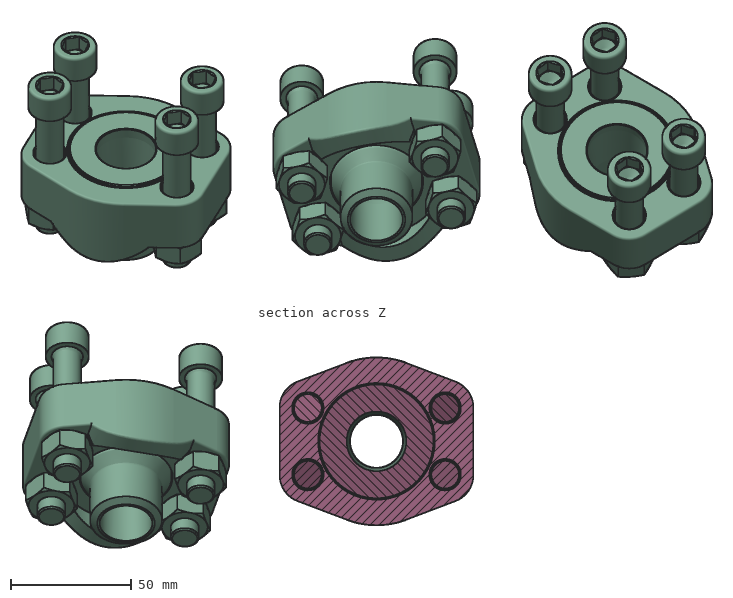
import cadquery as cq
import math

plate_length = 81.0
plate_width = 70.0
plate_top = 49.5
ear_bottom = 25.5
arch_bottom = 16.1
arch_radius = 30.0
edge_round = 1.0
bolt_spacing_x = 57.2
bolt_spacing_y = 27.8
bolt_hole_diameter = 13.0
bolt_hole_chamfer = 0.5
seat_diameter = 48.4
seat_depth = 10.4
seat_chamfer = 0.4
plate_bore_diameter = 38.8
pocket_diameter = 54.0

collar_rise = 0.6
collar_diameter = 47.6
collar_chamfer = 0.5
body_diameter = 37.9
tube_diameter = 30.0
body_bottom = 25.1
tube_top = 20.0
blend_radius = 1.0
bevel_height = 1.7
bevel_end_diameter = 24.0
mouth_bore_diameter = 25.0
mouth_bore_depth = 4.8
bore_diameter = 22.0
bore_chamfer = 0.35

screw_top = 86.5
screw_bottom = 9.4
head_diameter = 18.0
head_height = 12.0
head_round = 1.2
shank_diameter = 11.7
neck_diameter = 13.15
neck_height = 1.2
collar_end_diameter = 11.9
relief_height = 0.4
tip_diameter = 10.4
socket_flats = 10.0
socket_depth = 6.9
socket_rim_diameter = 11.7
socket_turn = 35
cone_depth_ratio = 0.25

nut_flats = 19.0
nut_height = 9.95
nut_chamfer_angle = 30

tolerance = 0.01

bolt_x = bolt_spacing_x / 2
bolt_y = bolt_spacing_y / 2
corner_radius = plate_length / 2 - bolt_x
crown_radius = plate_width / 2
collar_top = plate_top + collar_rise
seat_z = plate_top - seat_depth
head_bottom = screw_top - head_height
hex_corner_ratio = 2 / math.sqrt(3)
nut_corner_diameter = nut_flats * hex_corner_ratio
bolt_points = [(sx * bolt_x, sy * bolt_y) for sx in (-1, 1) for sy in (-1, 1)]


def cylinder(diameter, bottom, top):
    """Upright cylinder on the main axis."""
    return cq.Workplane("XY").workplane(offset=bottom).circle(diameter / 2).extrude(top - bottom)


def plate_outline():
    """Crown arcs and bolt-centred corner arcs joined by tangent lines."""
    bolt_distance = math.hypot(bolt_x, bolt_y)
    tangent = math.atan2(bolt_y, bolt_x) + math.acos((crown_radius - corner_radius) / bolt_distance)
    crown_x = crown_radius * math.cos(tangent)
    crown_y = crown_radius * math.sin(tangent)
    slant_x = bolt_x + corner_radius * math.cos(tangent)
    slant_y = bolt_y + corner_radius * math.sin(tangent)
    corner_x = bolt_x + corner_radius * math.cos(tangent / 2)
    corner_y = bolt_y + corner_radius * math.sin(tangent / 2)
    side_x = plate_length / 2
    return (
        cq.Workplane("XY").workplane(offset=arch_bottom)
        .moveTo(side_x, -bolt_y)
        .lineTo(side_x, bolt_y)
        .threePointArc((corner_x, corner_y), (slant_x, slant_y))
        .lineTo(crown_x, crown_y)
        .threePointArc((0, crown_radius), (-crown_x, crown_y))
        .lineTo(-slant_x, slant_y)
        .threePointArc((-corner_x, corner_y), (-side_x, bolt_y))
        .lineTo(-side_x, -bolt_y)
        .threePointArc((-corner_x, -corner_y), (-slant_x, -slant_y))
        .lineTo(-crown_x, -crown_y)
        .threePointArc((0, -crown_radius), (crown_x, -crown_y))
        .lineTo(slant_x, -slant_y)
        .threePointArc((corner_x, -corner_y), (side_x, -bolt_y))
        .close()
    )


def fillet_plate_rim(plate):
    """Round every rim edge of the plate, but not its uprights or the creases beside the arch."""
    rim = []
    for edge in plate.edges().vals():
        start = edge.startPoint()
        end = edge.endPoint()
        is_upright = math.hypot(start.x - end.x, start.y - end.y) < tolerance
        is_crease = abs(start.x - end.x) < tolerance and abs(start.x) < plate_length / 2 - tolerance
        if not is_upright and not is_crease:
            rim.append(edge)
    return cq.Workplane(plate.val().fillet(edge_round, rim))


def chamfered_hole(diameter, bottom, chamfer):
    """Cutter for a hole that opens with a chamfer at the top of the plate."""
    mouth = cq.Workplane("XY").workplane(offset=plate_top).circle(diameter / 2 + chamfer)
    mouth = mouth.workplane(offset=-chamfer).circle(diameter / 2).loft(ruled=True)
    return cylinder(diameter, bottom, plate_top).union(mouth)


def make_flange():
    """Plate with an arched underside between two flat ears.

    Round pockets flush with the ears clear the arch around the nipple and the nuts.
    """
    block = plate_outline().extrude(plate_top - arch_bottom)
    arch = (
        cq.Workplane("XZ")
        .center(0, arch_bottom + arch_radius)
        .circle(arch_radius)
        .extrude(plate_width, both=True)
    )
    above_ears = (
        cq.Workplane("XY").workplane(offset=ear_bottom)
        .rect(2 * plate_length, 2 * plate_width)
        .extrude(plate_top)
    )
    flange = fillet_plate_rim(block.intersect(arch.union(above_ears)))
    flange = flange.cut(cylinder(pocket_diameter, 0, ear_bottom))
    flange = flange.cut(cylinder(plate_bore_diameter, 0, seat_z))
    flange = flange.cut(chamfered_hole(seat_diameter, seat_z, seat_chamfer))
    bolt_hole = chamfered_hole(bolt_hole_diameter, 0, bolt_hole_chamfer)
    nut_clearance = cylinder(nut_corner_diameter, 0, ear_bottom)
    for x, y in bolt_points:
        flange = flange.cut(bolt_hole.translate((x, y, 0)))
        flange = flange.cut(nut_clearance.translate((x, y, 0)))
    return flange


def make_nipple():
    """Revolved weld nipple: collar, body, cone, tube with weld bevel, and a stepped bore."""
    collar_r = collar_diameter / 2
    body_r = body_diameter / 2
    tube_r = tube_diameter / 2
    outside = (
        cq.Workplane("XZ")
        .moveTo(0, 0)
        .lineTo(bevel_end_diameter / 2, 0)
        .lineTo(tube_r, bevel_height)
        .lineTo(tube_r, tube_top)
        .lineTo(body_r, body_bottom)
        .lineTo(body_r, seat_z)
        .lineTo(collar_r, seat_z)
        .lineTo(collar_r, collar_top - collar_chamfer)
        .lineTo(collar_r - collar_chamfer, collar_top)
        .lineTo(0, collar_top)
        .close()
        .revolve(360, (0, 0, 0), (0, 1, 0))
    )
    cone_ends = [
        edge for edge in outside.edges("%CIRCLE").vals()
        if min(abs(edge.Center().z - z) for z in (tube_top, body_bottom)) < tolerance
    ]
    outside = cq.Workplane(outside.val().fillet(blend_radius, cone_ends))
    mouth_r = mouth_bore_diameter / 2
    bore_r = bore_diameter / 2
    bore = (
        cq.Workplane("XZ")
        .moveTo(0, 0)
        .lineTo(bore_r, 0)
        .lineTo(bore_r, body_bottom)
        .lineTo(mouth_r, collar_top - mouth_bore_depth)
        .lineTo(mouth_r, collar_top - bore_chamfer)
        .lineTo(mouth_r + bore_chamfer, collar_top)
        .lineTo(0, collar_top)
        .close()
        .revolve(360, (0, 0, 0), (0, 1, 0))
    )
    return outside.cut(bore)


def taper(top_diameter, bottom_diameter, top, height):
    """Upright truncated cone on the main axis, hanging below its top."""
    cone = cq.Solid.makeCone(bottom_diameter / 2, top_diameter / 2, height, pnt=cq.Vector(0, 0, top - height))
    return cq.Workplane(cone)


def make_screw(x, y):
    """Socket head cap screw with a neck under the head and a conical socket floor."""
    head = cylinder(head_diameter, head_bottom, screw_top).faces(">Z").edges().fillet(head_round)
    shank = cylinder(shank_diameter, screw_bottom, head_bottom)
    shank = shank.faces("<Z").edges().chamfer((shank_diameter - tip_diameter) / 2)
    neck = taper(neck_diameter, collar_end_diameter, head_bottom, neck_height)
    relief = taper(collar_end_diameter, shank_diameter, head_bottom - neck_height, relief_height)
    hexagon = (
        cq.Workplane("XY").workplane(offset=screw_top - socket_depth)
        .polygon(6, socket_flats * hex_corner_ratio).extrude(socket_depth)
        .rotate((0, 0, 0), (0, 0, 1), socket_turn)
    )
    rim = taper(socket_rim_diameter, 0, screw_top, socket_rim_diameter * cone_depth_ratio)
    floor = taper(socket_flats, 0, screw_top - socket_depth, socket_flats * cone_depth_ratio)
    screw = head.union(shank).union(neck).union(relief).cut(hexagon).cut(rim).cut(floor)
    return screw.translate((x, y, 0))


def make_nut(x, y):
    """Hexagon nut against the ear, both faces chamfered at the corners."""
    bottom = ear_bottom - nut_height
    hexagon = cq.Workplane("XY").workplane(offset=bottom).polygon(6, nut_corner_diameter).extrude(nut_height)
    chamfer_width = (nut_corner_diameter - nut_flats) / 2
    chamfer_height = chamfer_width * math.tan(math.radians(nut_chamfer_angle))
    blank = cylinder(nut_corner_diameter, bottom, ear_bottom)
    blank = blank.edges("%CIRCLE").chamfer(chamfer_height, chamfer_width)
    nut = hexagon.intersect(blank).cut(cylinder(shank_diameter, bottom, ear_bottom))
    return nut.translate((x, y, 0))


flange = make_flange()
nipple = make_nipple()
screws = [make_screw(x, y) for x, y in bolt_points]
nuts = [make_nut(x, y) for x, y in bolt_points]

result = cq.Compound.makeCompound(
    [flange.val(), nipple.val()]
    + [screw.val() for screw in screws]
    + [nut.val() for nut in nuts]
)